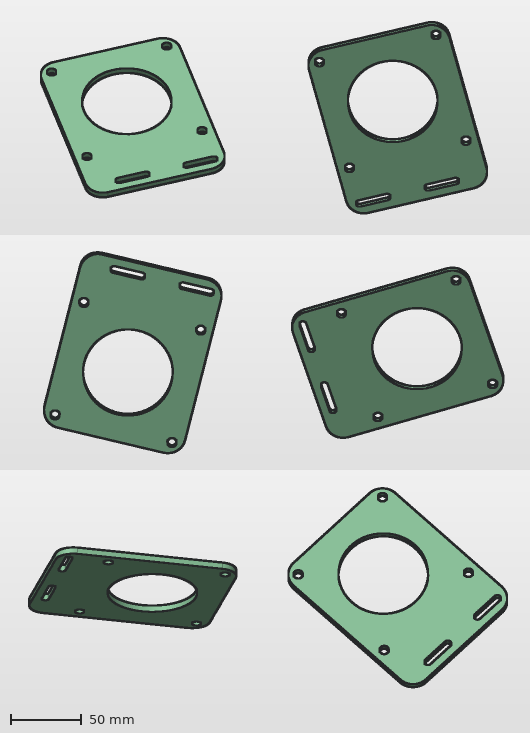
import cadquery as cq

length = 131.0
width = 102.5
thickness = 5.0
corner_radius = 12.8

opening_diameter = 63.3
opening_x = (width - length) / 2

hole_diameter = 6.5
hole_spacing = 85.0

slot_length = 25.0
slot_width = 5.0
slot_spacing = 50.0
slot_edge_distance = 8.6
slot_x = length / 2 - slot_edge_distance
slot_pair_center_y = 7.5


def make_plate():
    plate = cq.Workplane("XY").box(length, width, thickness)
    return plate.edges("|Z").fillet(corner_radius)


def cut_opening_and_holes(plate):
    face = plate.faces(">Z").workplane(origin=(opening_x, 0, 0))
    plate = face.circle(opening_diameter / 2).cutThruAll()
    face = plate.faces(">Z").workplane(origin=(opening_x, 0, 0))
    return face.rect(hole_spacing, hole_spacing, forConstruction=True).vertices().hole(hole_diameter)


def cut_slots(plate):
    face = plate.faces(">Z").workplane(origin=(slot_x, slot_pair_center_y, 0))
    slots = face.rarray(1.3, slot_spacing, 1, 2).slot2D(slot_length, slot_width, angle=90)
    return slots.cutThruAll()


result = cut_slots(cut_opening_and_holes(make_plate()))